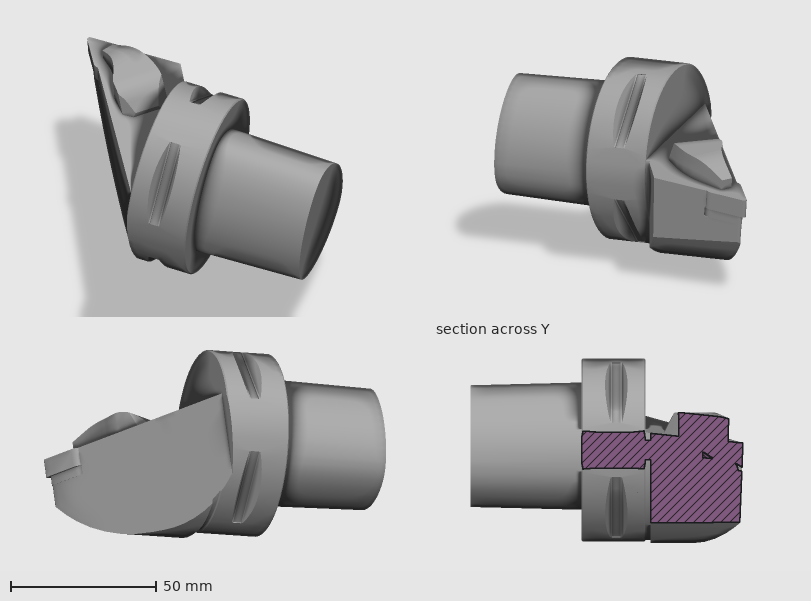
import cadquery as cq
import math

shank_length = 38.1
shank_mean_radius = 21.89
shank_taper = 1 / 40
lobe_height = 1.3
shank_root = 5.2

flange_radius = 31.5
flange_width = 21.9
flange_chamfer = 0.4

groove_position = -11.9
groove_floor_width = 3.9
groove_top_width = 7.7
groove_floor_distance = 27.9
groove_length = 29.5
slot_width = 3.0
slot_depth = 0.5
groove_angles = [45, 135, 225, 315]

neck_radius = 31.0
neck_width = 1.8
relief_depth = 4.1
relief_limit = -103.0

head_radius = 32.0
sweep_radius = 52.5
sweep_start = 4.6
head_reach = 46.4
head_top = 25.8
head_front = -68.0

tip_x = -64.9
tip_y = 45.0
nose_radius = 0.8
tilt_slope = 0.105
tilt_plane = cq.Plane(
    origin=(tip_x + nose_radius, tip_y - nose_radius, tilt_slope * 2 * nose_radius),
    xDir=(1, 0, tilt_slope),
    normal=(-tilt_slope, tilt_slope, 1),
)
prism_depth = 82.4

upper_angle = -3.0
lower_angle = -58.0
upper_inset = 0.6
lower_inset = 1.0
shim_step = 0.1

insert_side = 15.5
insert_thickness = 6.4
insert_corner_radius = 3.1

shim_thickness = 3.2
shim_depth = insert_thickness + shim_thickness
shim_side = 15.9
shim_corner_radius = 10.0 / 2

head_length = 51.5
back_wall = [(-30.0, 42.6), (-23.5, 31.1)]
holder_nose_radius = 0.8
flange_cut = 43.0

clamp_height = 8.1
clamp_draft = 20.0
side_facing = -90.0
end_facing = 0.0
clamp_nose = (10.1, -3.6)
clamp_nose_left = (7.8, -7.2)
clamp_left_waist = [(11.3, -10.6), (16.7, -18.4)]
clamp_left_bulge = [(18.8, -24.4), (21.4, -27.5)]
clamp_bulge_angles = [-65.0, -50.0]
clamp_left_tail = (24.5, -31.1)
clamp_tail = [(28.5, -31.1), (36.0, -24.1), (36.0, -18.5)]
clamp_right_flank = [(33.4, -15.8), (30.9, -13.3), (22.5, -7.6), (14.5, -4.9)]
nose_direction = 149.0
nose_bend_start = -23.6
nose_bend_radius = 17.7
nose_slope = 27.0
nose_ramp_back = -61.8
tail_direction = -47.0
tail_bend_start = 30.9
tail_bend_radius = 11.6
tail_slope = 45.0
tail_ramp_back = -20.6


def along(angle, length):
    """Step of the given length and direction."""
    return (length * math.cos(math.radians(angle)), length * math.sin(math.radians(angle)))


def added(first, second):
    """Sum of two plane vectors."""
    return (first[0] + second[0], first[1] + second[1])


edge_spread = upper_angle - lower_angle
bisector = (upper_angle + lower_angle) / 2
insert_tip = along(bisector, -nose_radius / math.sin(math.radians(edge_spread / 2)))


def edge_point(upper_length, lower_length):
    """Point in the tilted plane, reached from the insert's sharp tip along its upper and lower edges."""
    return added(added(insert_tip, along(upper_angle, upper_length)), along(lower_angle, lower_length))


def edge_shift(inset):
    """Distance along one edge that moves a point inwards from the other edge by inset."""
    return inset / math.sin(math.radians(edge_spread))


holder_tip = edge_point(edge_shift(lower_inset), edge_shift(upper_inset))


def lower_edge_point(u):
    """Point of the holder's lower edge line at first coordinate u in the tilted plane."""
    return (u, holder_tip[1] + (u - holder_tip[0]) * math.tan(math.radians(lower_angle)))


def lobed_section(x, mean_radius):
    """Three-lobed closed curve of constant width, with one lobe pointing to +Z."""

    def point(t):
        angle = 2 * math.pi * t
        reach = mean_radius - lobe_height * math.sin(3 * angle)
        turn = -3 * lobe_height * math.cos(3 * angle)
        return (
            reach * math.cos(angle) - turn * math.sin(angle),
            reach * math.sin(angle) + turn * math.cos(angle),
        )

    return cq.Workplane("YZ", origin=(x, 0, 0)).parametricCurve(point, N=120).val()


def make_shank():
    root = lobed_section(-shank_root, shank_mean_radius + shank_root * shank_taper)
    end = lobed_section(shank_length, shank_mean_radius - shank_length * shank_taper)
    return cq.Workplane(cq.Solid.makeLoft([root, end], True))


def make_flange():
    flange = cq.Workplane("YZ").circle(flange_radius).extrude(-flange_width)
    flange = flange.edges("%CIRCLE").chamfer(flange_chamfer)
    depth = flange_radius - groove_floor_distance
    slope = (groove_top_width - groove_floor_width) / 2 / depth
    outer_half_width = groove_floor_width / 2 + 2 * depth * slope
    profile = [
        (groove_position - groove_floor_width / 2, groove_floor_distance),
        (groove_position + groove_floor_width / 2, groove_floor_distance),
        (groove_position + outer_half_width, groove_floor_distance + 2 * depth),
        (groove_position - outer_half_width, groove_floor_distance + 2 * depth),
    ]
    groove = cq.Workplane("XZ").polyline(profile).close().extrude(groove_length / 2, both=True)
    slot = cq.Workplane("XY").box(slot_width, groove_length, 2 * slot_depth)
    groove = groove.union(slot.translate((groove_position, 0, groove_floor_distance)))
    for angle in groove_angles:
        flange = flange.cut(groove.rotate((0, 0, 0), (1, 0, 0), angle))
    return flange


def tilted_prism(points, top=0.0, depth=prism_depth):
    """Prism square to the cutting plane, from top above it down to depth below it."""
    outline = cq.Workplane(tilt_plane).workplane(offset=top).polyline(points).close()
    return outline.extrude(-(depth + top))


def rounded_corners(solid, corners, depth, radius):
    """Solid with its edges at the given corners rounded, each found at its middle depth."""
    for corner in corners:
        middle = tilt_plane.toWorldCoords((corner[0], corner[1], -depth))
        solid = solid.edges(cq.selectors.NearestToPointSelector(middle.toTuple())).fillet(radius)
    return solid


def head_block():
    """Round-bottomed block along X, before its outline is cut."""
    front = -flange_width - neck_width
    sweep_centre = sweep_radius - head_radius
    end_angle = math.asin((head_reach - sweep_start) / sweep_radius)
    mid_angle = end_angle / 2
    block = (
        cq.Workplane("YZ", origin=(front, 0, 0))
        .moveTo(-head_radius, head_top)
        .lineTo(-head_radius, 0)
        .radiusArc((0, -head_radius), -head_radius)
        .lineTo(sweep_start, -head_radius)
        .threePointArc(
            (
                sweep_start + sweep_radius * math.sin(mid_angle),
                sweep_centre - sweep_radius * math.cos(mid_angle),
            ),
            (head_reach, sweep_centre - sweep_radius * math.cos(end_angle)),
        )
        .lineTo(head_reach, head_top)
        .close()
        .extrude(head_front - front)
    )
    neck = cq.Workplane("YZ", origin=(front, 0, 0)).circle(neck_radius).extrude(neck_width + relief_depth)
    return block.union(neck)


def make_head():
    far_corner = added(holder_tip, along(upper_angle, head_length))
    prism = tilted_prism([holder_tip, far_corner, lower_edge_point(far_corner[0])])
    prism = rounded_corners(prism, [holder_tip], prism_depth / 2, holder_nose_radius)
    corner, foot = back_wall
    beyond = (2 * corner[0] - foot[0], 2 * corner[1] - foot[1])
    behind = (
        cq.Workplane("XY")
        .polyline([beyond, foot, (0, foot[1]), (0, beyond[1])])
        .close()
        .extrude(prism_depth, both=True)
    )
    return head_block().intersect(prism).cut(behind)


def make_flange_relief():
    """Corner cut from the flange front, in line with the lower edge of the head."""
    meeting = lower_edge_point(flange_cut)
    outline = [meeting, lower_edge_point(0), (0, relief_limit), (flange_cut, relief_limit)]
    return tilted_prism(outline)


def edge_rhombus(side, upper_gap=0.0, lower_gap=0.0):
    """Tip, upper, far and lower corner of a rhombus that ends at side and starts behind both edges."""
    upper_start = edge_shift(lower_gap)
    lower_start = edge_shift(upper_gap)
    return [
        edge_point(upper_start, lower_start),
        edge_point(side, lower_start),
        edge_point(side, side),
        edge_point(upper_start, side),
    ]


def make_insert():
    corners = edge_rhombus(insert_side)
    insert = tilted_prism(corners, depth=insert_thickness)
    insert = rounded_corners(insert, [corners[0]], insert_thickness / 2, nose_radius)
    return rounded_corners(insert, [corners[1], corners[3]], insert_thickness / 2, insert_corner_radius)


def make_shim():
    corners = edge_rhombus(shim_side, upper_inset - shim_step, lower_inset - shim_step)
    shim = tilted_prism(corners, top=-insert_thickness, depth=shim_depth)
    middle = (insert_thickness + shim_depth) / 2
    shim = rounded_corners(shim, [corners[0]], middle, holder_nose_radius)
    return rounded_corners(shim, [corners[1], corners[3]], middle, shim_corner_radius)


def make_pocket():
    """Room for the insert, and a slightly wider room for the shim below it."""
    pocket = tilted_prism(edge_rhombus(insert_side), depth=insert_thickness)
    return pocket.union(tilted_prism(edge_rhombus(shim_side), top=-insert_thickness, depth=shim_depth))


def clamp_outline():
    """Plan of the clamp in the cutting plane: nose, wavy flanks and a square tail."""
    bulge_directions = [along(angle, 1) for angle in clamp_bulge_angles]
    return (
        cq.Workplane(tilt_plane)
        .moveTo(*clamp_nose_left)
        .lineTo(*clamp_left_waist[0])
        .tangentArcPoint(clamp_left_waist[1], relative=False)
        .spline(clamp_left_bulge, tangents=bulge_directions, includeCurrent=True)
        .lineTo(*clamp_left_tail)
        .lineTo(*clamp_tail[0])
        .lineTo(*clamp_tail[1])
        .lineTo(*clamp_tail[2])
        .lineTo(*clamp_right_flank[0])
        .spline(clamp_right_flank[1:] + [clamp_nose], includeCurrent=True)
        .close()
        .extrude(clamp_height)
    )


def upright_plane(angle):
    """Plane square to the cutting plane, whose first axis runs in the given direction in it."""
    step = along(angle, 1)
    across = (-step[1], step[0])
    first = tilt_plane.toWorldCoords(step) - tilt_plane.origin
    normal = tilt_plane.origin - tilt_plane.toWorldCoords(across)
    return cq.Plane(origin=tilt_plane.origin, xDir=first, normal=normal)


def ramp_profile(angle, start, radius, slope, back):
    """Prism under a level line that bends over an arc of the given radius into a straight ramp."""
    turn = math.radians(slope)
    run = radius * math.sin(turn)
    drop = radius * (1 - math.cos(turn))
    half_run = radius * math.sin(turn / 2)
    half_drop = radius * (1 - math.cos(turn / 2))
    foot = (clamp_height - drop) / math.tan(turn)
    return (
        cq.Workplane(upright_plane(angle))
        .moveTo(back, 0)
        .lineTo(back, clamp_height)
        .lineTo(start, clamp_height)
        .threePointArc((start + half_run, clamp_height - half_drop), (start + run, clamp_height - drop))
        .lineTo(start + run + foot, 0)
        .close()
        .extrude(prism_depth, both=True)
    )


def draft_cut(corner, angle):
    """Wedge that leans inwards over the clamp from a foot line through corner."""
    foot = tilt_plane.toWorldCoords(corner)
    wedge_plane = upright_plane(angle)
    wedge_plane.origin = foot
    lean = 2 * clamp_height * math.tan(math.radians(clamp_draft))
    profile = [(0, 0), (-lean, 2 * clamp_height), (clamp_height, 2 * clamp_height), (clamp_height, 0)]
    return cq.Workplane(wedge_plane).polyline(profile).close().extrude(prism_depth, both=True)


def make_clamp():
    clamp = clamp_outline()
    tail = ramp_profile(tail_direction, tail_bend_start, tail_bend_radius, tail_slope, tail_ramp_back)
    nose = ramp_profile(nose_direction, nose_bend_start, nose_bend_radius, nose_slope, nose_ramp_back)
    clamp = clamp.intersect(tail).intersect(nose)
    clamp = clamp.cut(draft_cut(clamp_tail[0], side_facing))
    return clamp.cut(draft_cut(clamp_tail[2], end_facing))


holder = make_flange().union(make_shank()).cut(make_flange_relief()).union(make_head())
holder = holder.cut(make_pocket()).union(make_shim()).union(make_clamp())
insert = make_insert()
result = cq.Compound.makeCompound([holder.val(), insert.val()])